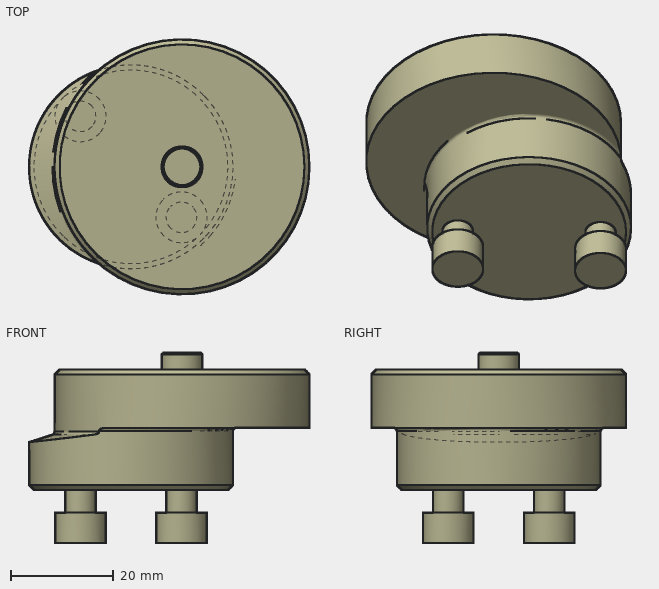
import math

import cadquery as cq


disc_radius = 25.0
disc_bottom = 12.2
disc_top = 23.7
disc_chamfer = 1.0
pin_radius = 4.0
pin_top = 27.0
pin_chamfer = 0.4

hub_radius = 20.0
hub_offset = 10.0
hub_chamfer = 1.0
reach = hub_offset + hub_radius

shoulder_rim_height = 9.4
shoulder_angle = math.radians(18.0)
shoulder_rise = (reach - disc_radius) * math.tan(shoulder_angle)
shoulder_top = shoulder_rim_height + shoulder_rise

fillet_radius = 0.6

bolt_circle_radius = 14.0
shank_radius = 3.0
shank_length = 4.4
head_radius = 5.0
head_height = 6.0


def cylinder(radius, bottom, top, x=0.0, y=0.0):
    return cq.Workplane("XY", origin=(x, y, bottom)).circle(radius).extrude(top - bottom)


def make_disc():
    disc = cylinder(disc_radius, disc_bottom, disc_top)
    disc = disc.faces(">Z").chamfer(disc_chamfer)
    pin = cylinder(pin_radius, disc_top, pin_top)
    return disc.union(pin.faces(">Z").chamfer(pin_chamfer))


def make_shouldered_core():
    """Solid about the disc axis: cone shoulder, filleted into the disc wall."""
    turn = math.pi / 2 - shoulder_angle
    tangent_length = fillet_radius * math.tan(turn / 2)
    wall_point = (disc_radius, shoulder_top + tangent_length)
    cone_point = (
        disc_radius + tangent_length * math.cos(shoulder_angle),
        shoulder_top - tangent_length * math.sin(shoulder_angle),
    )
    arc_centre = (disc_radius + fillet_radius, wall_point[1])
    mid_point = (
        arc_centre[0] - fillet_radius * math.cos(turn / 2),
        arc_centre[1] - fillet_radius * math.sin(turn / 2),
    )
    profile = (
        cq.Workplane("XZ")
        .lineTo(reach, 0)
        .lineTo(reach, shoulder_rim_height)
        .lineTo(*cone_point)
        .threePointArc(mid_point, wall_point)
        .lineTo(disc_radius, disc_bottom)
        .lineTo(0, disc_bottom)
        .close()
    )
    return profile.revolve(360, (0, 0, 0), (0, 1, 0))


def make_hub():
    hub = cylinder(hub_radius, 0, disc_bottom, x=-hub_offset)
    hub = hub.faces("<Z").chamfer(hub_chamfer)
    return hub.intersect(make_shouldered_core())


def make_hub_fillet():
    """Concave ring about the hub axis, under the disc and kept within its outline."""
    fillet_bottom = disc_bottom - fillet_radius
    outer_radius = hub_radius + fillet_radius
    diagonal = fillet_radius * math.sqrt(0.5)
    flare = (
        cq.Workplane("XZ", origin=(-hub_offset, 0, 0))
        .moveTo(0, fillet_bottom)
        .lineTo(hub_radius, fillet_bottom)
        .threePointArc(
            (outer_radius - diagonal, fillet_bottom + diagonal),
            (outer_radius, disc_bottom),
        )
        .lineTo(0, disc_bottom)
        .close()
        .revolve(360, (0, 0, 0), (0, 1, 0))
    )
    return flare.intersect(cylinder(disc_radius, 0, disc_bottom))


def make_screw(x, y):
    head_top = -shank_length
    shank = cylinder(shank_radius, head_top, 0, x, y)
    return shank.union(cylinder(head_radius, head_top - head_height, head_top, x, y))


result = make_disc().union(make_hub()).union(make_hub_fillet())
screw_step = bolt_circle_radius * math.sqrt(0.5)
for side in (-1, 1):
    screw_x = -hub_offset + side * screw_step
    screw_y = -side * screw_step
    result = result.union(make_screw(screw_x, screw_y))